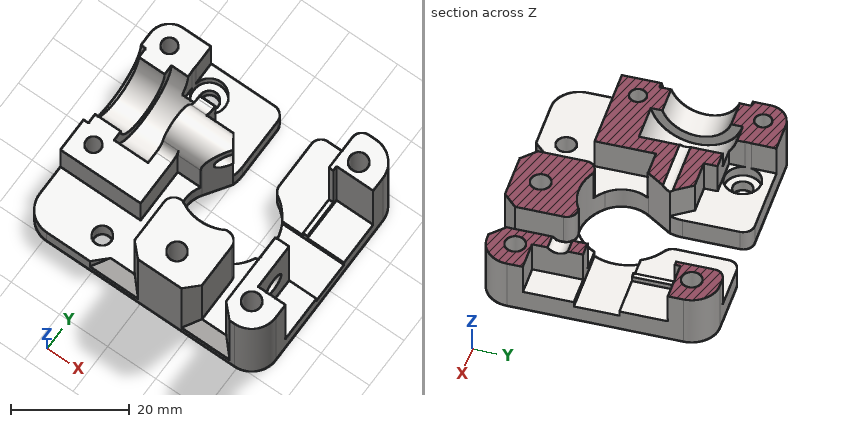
import cadquery as cq
import math

motor_half = 20.5
left_x = -28.5
total_height = 19.9
plate_top = 4.1
corner_radius = 5.0
rear_left_corner_radius = 4.0

screw_offset = 15.5
screw_diameter = 3.6
head_recess_diameter = 6.5
head_recess_depth = 2.0
bore_radius = 8.75
slot_half_width = 3.5
slot_fillet = 2.0
slot_mouth_fillet = 2.0
slope_fillet = 6.0
slot_left_end_y = 8.4

path_y = 5.5
path_z = 12.0
path_diameter = 4.5

block_right_x = -11.85
block_front_y = -9.5
block_step_x = -18.7
block_step_y = 12.15
clamp_screw_x = -24.5
clamp_screw_offset = 11.0
clamp_screw_diameter = 3.0
neck_radius = 6.35
collar_radius = 8.3
entry_depth = 1.0
collar_start_x = -22.15
collar_end_x = -15.1

guide_radius = 4.25
guide_fillet = 2.1
tip_x = -3.87
tip_y = 6.06
tip_slope = 0.67

tower_half_width = 7.0
tower_rear_y = -7.5
post_left_x = 12.0
post_fillet = 2.0
gap_flare = 2.5
idler_slot_front_y = -3.75
idler_slot_rear_y = 4.25
idler_slot_depth = 1.0
rear_post_front_y = 11.75
pocket_length = 8.95
ear_pocket_x = 14.85
rear_pocket_x = 12.9
rear_pocket_rear_y = 12.7
lip_height = 1.0
ear_hole_diameter = 4.4
ear_hole_z = 11.3


def box(x0, x1, y0, y1, z0, z1):
    """Box between two opposite corners."""
    return cq.Workplane("XY").box(x1 - x0, y1 - y0, z1 - z0, centered=False).translate((x0, y0, z0))


def rod(radius, x0, x1):
    """Cylinder along the filament path."""
    return cq.Workplane("YZ", origin=(x0, path_y, path_z)).circle(radius).extrude(x1 - x0)


def vertical_edge_at(x, y):
    """Selector for the vertical edge at one plan position."""
    reach = 0.1
    return cq.selectors.BoxSelector((x - reach, y - reach, 0), (x + reach, y + reach, total_height))


def body_envelope():
    """Full-height rounded outline that every feature stays inside."""
    body = box(left_x, motor_half, -motor_half, motor_half, 0, total_height)
    body = body.edges("|Z").edges("<Y or >X").fillet(corner_radius)
    return body.edges(vertical_edge_at(left_x, motor_half)).fillet(rear_left_corner_radius)


def central_opening():
    """Motor bore joined to the rear slot, with the sloped end of the filament guide on its left."""
    slope_x0 = tip_x - tip_slope * tip_y
    quad = 1 + tip_slope**2
    half_linear = tip_slope * slope_x0
    root = math.sqrt(half_linear**2 - quad * (slope_x0**2 - bore_radius**2))
    slope_end_y = (-half_linear - root) / quad
    slope_end_x = slope_x0 + tip_slope * slope_end_y
    bore_joint_y = math.sqrt(bore_radius**2 - slot_half_width**2)
    opening = (
        cq.Workplane("XY")
        .moveTo(-slot_half_width, motor_half)
        .lineTo(-slot_half_width, slot_left_end_y)
        .tangentArcPoint((tip_x, tip_y), relative=False)
        .lineTo(slope_end_x, slope_end_y)
        .threePointArc((0, -bore_radius), (slot_half_width, bore_joint_y))
        .lineTo(slot_half_width, motor_half)
        .close()
        .extrude(total_height)
    )
    opening = opening.edges(vertical_edge_at(slot_half_width, bore_joint_y)).fillet(slot_fillet)
    return opening.edges(vertical_edge_at(slope_end_x, slope_end_y)).fillet(slope_fillet)


def clamp_block():
    """Half-height block with a step that frees the rear left motor screw."""
    wide = box(left_x, block_right_x, block_front_y, block_step_y, 0, path_z)
    corner = box(left_x, block_step_x, block_front_y, motor_half, 0, path_z)
    return wide.union(corner)


def filament_guide():
    """Round-topped rib along the path, blended into the block and pointed at its inner end."""
    half_flare = math.sqrt((guide_radius + guide_fillet) ** 2 - guide_fillet**2)
    blend_ratio = guide_radius / (guide_radius + guide_fillet)
    tangent_y = half_flare * blend_ratio
    tangent_z = guide_fillet * blend_ratio

    rib = rod(guide_radius, block_right_x, -slot_half_width).union(
        box(block_right_x, -slot_half_width, path_y - guide_radius, path_y + guide_radius, 0, path_z)
    )

    mid_angle = -(math.pi / 2 + math.atan2(half_flare, guide_fillet) / 2)
    mid_y = half_flare + guide_fillet * math.cos(mid_angle)
    mid_z = guide_fillet + guide_fillet * math.sin(mid_angle)
    blend = (
        cq.Workplane("YZ", origin=(collar_end_x, path_y, path_z))
        .moveTo(-half_flare, 0)
        .threePointArc((-mid_y, mid_z), (-tangent_y, tangent_z))
        .threePointArc((0, guide_radius), (tangent_y, tangent_z))
        .threePointArc((mid_y, mid_z), (half_flare, 0))
        .close()
        .extrude(block_right_x - collar_end_x)
    )
    return rib.union(blend)


def guide_rear_relief():
    """Wedge above the plate that cuts the rear side of the guide's tip."""
    rear_y = path_y + guide_radius
    rear_x = tip_x - tip_slope * (rear_y - tip_y)
    outline = [(tip_x, tip_y), (rear_x, rear_y), (0, rear_y), (0, tip_y)]
    return (
        cq.Workplane("XY", origin=(0, 0, plate_top))
        .polyline(outline)
        .close()
        .extrude(total_height)
    )


def front_tower():
    """Tall post at the middle of the front edge."""
    tower = box(-tower_half_width, tower_half_width, -motor_half, tower_rear_y, 0, total_height)
    return tower.edges("|Z and >Y").fillet(post_fillet)


def rear_post():
    """Tall post at the rear right corner, with a low lip running forward to the idler slot."""
    post = box(post_left_x, motor_half, rear_post_front_y, motor_half, 0, total_height)
    post = post.edges("|Z and >Y and <X").fillet(post_fillet)
    lip = box(post_left_x, rear_pocket_x, idler_slot_rear_y, rear_post_front_y, 0, plate_top + lip_height)
    pocket = box(rear_pocket_x, motor_half, rear_post_front_y, rear_pocket_rear_y, plate_top, total_height)
    return post.cut(pocket).union(lip)


def front_post():
    """Tall post at the front right corner, thinned to a drilled ear beside the idler slot."""
    post = box(post_left_x, motor_half, -motor_half, idler_slot_front_y, 0, total_height)
    pocket_front_y = idler_slot_front_y - pocket_length
    pocket = box(ear_pocket_x, motor_half, pocket_front_y, idler_slot_front_y, plate_top, total_height)
    hole_y = idler_slot_front_y - pocket_length / 2
    hole = (
        cq.Workplane("YZ", origin=(post_left_x, hole_y, ear_hole_z))
        .circle(ear_hole_diameter / 2)
        .extrude(motor_half - post_left_x)
    )
    return post.cut(pocket).cut(hole)


def gap_mouth(side):
    """Flared mouth at the front of the gap beside the tower; side is -1 for left, +1 for right."""
    inner = side * tower_half_width
    outer = side * post_left_x
    front_y = -motor_half
    back_y = front_y + gap_flare
    flare_plan = [
        (inner, back_y),
        (outer, back_y),
        (outer + side * gap_flare, front_y),
        (inner - side * gap_flare, front_y),
    ]
    ramp_profile = [
        (front_y, plate_top - gap_flare),
        (back_y, plate_top),
        (back_y, total_height),
        (front_y, total_height),
    ]
    plan = cq.Workplane("XY").polyline(flare_plan).close().extrude(total_height)
    ramp = cq.Workplane("YZ").polyline(ramp_profile).close().extrude(motor_half, both=True)
    return plan.intersect(ramp)


def vertical_holes(points, diameter):
    """Holes through the full height at the given points."""
    return cq.Workplane("XY").pushPoints(points).circle(diameter / 2).extrude(total_height)


result = box(left_x, motor_half, -motor_half, motor_half, 0, plate_top)
result = result.union(clamp_block())
for post in (front_tower(), rear_post(), front_post()):
    result = result.union(post)

result = result.cut(rod(collar_radius, left_x, left_x + entry_depth))
result = result.cut(rod(neck_radius, left_x, collar_start_x))
result = result.cut(rod(collar_radius, collar_start_x, collar_end_x))

result = result.union(filament_guide().cut(guide_rear_relief()))
result = result.cut(rod(path_diameter / 2, collar_end_x, 0))

result = result.intersect(body_envelope()).cut(central_opening())
for x in (-slot_half_width, slot_half_width):
    result = result.edges(vertical_edge_at(x, motor_half)).fillet(slot_mouth_fillet)
result = result.cut(
    box(0, motor_half, idler_slot_front_y, idler_slot_rear_y, plate_top - idler_slot_depth, plate_top)
)
for side in (-1, 1):
    result = result.cut(gap_mouth(side))

motor_screws = [(x, y) for x in (-screw_offset, screw_offset) for y in (-screw_offset, screw_offset)]
motor_screws.append((0, -screw_offset))
clamp_screws = [(clamp_screw_x, path_y + side * clamp_screw_offset) for side in (-1, 1)]
result = result.cut(vertical_holes(motor_screws, screw_diameter))
result = result.cut(vertical_holes(clamp_screws, clamp_screw_diameter))
head_recess = (
    cq.Workplane("XY", origin=(-screw_offset, screw_offset, plate_top - head_recess_depth))
    .circle(head_recess_diameter / 2)
    .extrude(path_z - plate_top + head_recess_depth)
)
result = result.cut(head_recess)